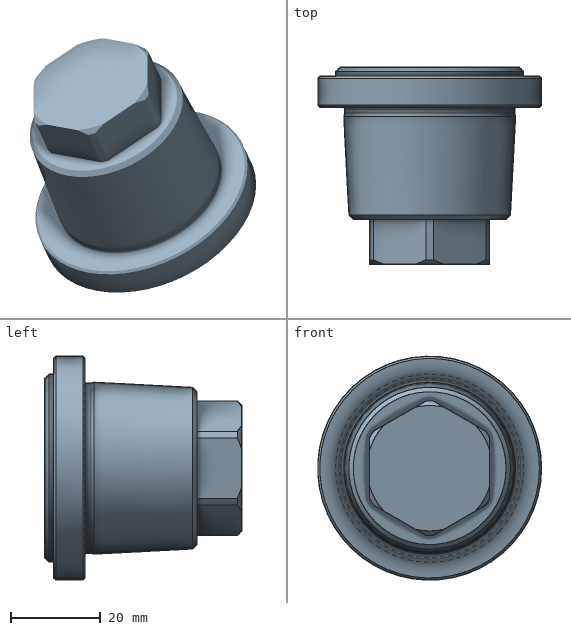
import cadquery as cq
import math


boss_radius = 21.0
boss_length = 2.0
boss_chamfer = 1.0
flange_radius = 25.0
flange_thickness = 7.0
flange_chamfer = 0.5

body_root_radius = 19.2
body_length = 25.0
body_taper = math.radians(3)
body_chamfer = 1.0

undercut_width = 2.0
undercut_depth = 0.2
undercut_face_depth = 0.1
undercut_fillet = 0.6
undercut_face_angle = math.radians(8)
undercut_runout_angle = math.radians(15)

hex_sides = 6
hex_across_flats = 26.8
hex_corner_radius = 15.0
hex_length = 10.0
hex_chamfer = 1.0

flange_face = boss_length + flange_thickness
undercut_end = flange_face + undercut_width
body_end = flange_face + body_length
head_end = body_end + hex_length


def at(radius, station):
    """Point in the XY half plane for a radius and a station along the axis."""
    return (radius, -station)


def point_on_arc(centre_radius, centre_station, angle):
    """Point on an undercut arc; angle 0 faces outwards, 90 degrees faces the head."""
    return at(
        centre_radius + undercut_fillet * math.cos(angle),
        centre_station + undercut_fillet * math.sin(angle),
    )


def revolve_about_axis(outline):
    """Turn a closed outline fully around the Y axis."""
    return outline.close().revolve(360, (0, 0, 0), (0, 1, 0))


def make_flange_and_body():
    """Back boss, flange, undercut and tapered body as one turned piece."""
    neck_radius = body_root_radius - undercut_depth
    arc_radius = neck_radius + undercut_fillet

    corner_station = flange_face - undercut_face_depth + undercut_fillet
    corner_start_angle = undercut_face_angle - math.pi / 2
    corner_end_angle = -math.pi
    corner_middle_angle = (corner_start_angle + corner_end_angle) / 2
    corner_start_radius = arc_radius + undercut_fillet * math.sin(undercut_face_angle)
    corner_start_station = corner_station - undercut_fillet * math.cos(undercut_face_angle)
    face_rise = flange_face - corner_start_station
    face_outer_radius = corner_start_radius + face_rise / math.tan(undercut_face_angle)

    runout_start = undercut_end - undercut_depth / math.tan(undercut_runout_angle)
    blend_station = runout_start - undercut_fillet * math.tan(undercut_runout_angle / 2)
    blend_end_angle = math.pi - undercut_runout_angle
    blend_middle_angle = math.pi - undercut_runout_angle / 2

    chamfer_station = body_end - body_chamfer
    body_tip_radius = body_root_radius - (chamfer_station - undercut_end) * math.tan(body_taper)

    outline = (
        cq.Workplane("XY")
        .moveTo(*at(0, 0))
        .lineTo(*at(boss_radius - boss_chamfer, 0))
        .lineTo(*at(boss_radius, boss_chamfer))
        .lineTo(*at(boss_radius, boss_length))
        .lineTo(*at(flange_radius - flange_chamfer, boss_length))
        .lineTo(*at(flange_radius, boss_length + flange_chamfer))
        .lineTo(*at(flange_radius, flange_face - flange_chamfer))
        .lineTo(*at(flange_radius - flange_chamfer, flange_face))
        .lineTo(*at(face_outer_radius, flange_face))
        .lineTo(*at(corner_start_radius, corner_start_station))
        .threePointArc(
            point_on_arc(arc_radius, corner_station, corner_middle_angle),
            at(neck_radius, corner_station),
        )
        .lineTo(*at(neck_radius, blend_station))
        .threePointArc(
            point_on_arc(arc_radius, blend_station, blend_middle_angle),
            point_on_arc(arc_radius, blend_station, blend_end_angle),
        )
        .lineTo(*at(body_root_radius, undercut_end))
        .lineTo(*at(body_tip_radius, chamfer_station))
        .lineTo(*at(body_tip_radius - body_chamfer, body_end))
        .lineTo(*at(0, body_end))
    )
    return revolve_about_axis(outline)


def make_hex_head():
    """Hexagon with two flats facing +X and -X, its corners turned round and chamfered."""
    across_corners = hex_across_flats / math.cos(math.pi / hex_sides)
    corner_up_turn = 90
    hexagon = (
        cq.Workplane("XZ", origin=(0, -body_end, 0))
        .transformed(rotate=(0, 0, corner_up_turn))
        .polygon(hex_sides, across_corners)
        .extrude(hex_length)
    )
    turned_envelope = revolve_about_axis(
        cq.Workplane("XY")
        .moveTo(*at(0, body_end))
        .lineTo(*at(hex_corner_radius, body_end))
        .lineTo(*at(hex_corner_radius, head_end - hex_chamfer))
        .lineTo(*at(hex_corner_radius - hex_chamfer, head_end))
        .lineTo(*at(0, head_end))
    )
    return hexagon.intersect(turned_envelope)


result = make_flange_and_body().union(make_hex_head())